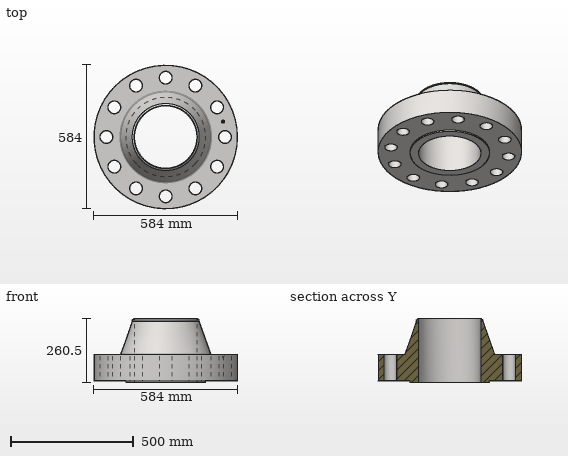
import cadquery as cq
import math

flange_diameter = 584.0
flange_thickness = 108.0
hub_height = 146.0

raised_face_diameter = 323.5
raised_face_height = 6.5

hub_base_diameter = 368.0
hub_fillet_radius = 3.5
neck_diameter = 273.0
neck_length = 5.0
bore_diameter = 253.5

weld_land = 2.0
weld_bevel_angle = 37.5

bolt_count = 12
bolt_circle_diameter = 482.5
bolt_hole_diameter = 51.0

recess_diameter = 13.0
recess_depth = 6.0
pilot_diameter = 4.0
pilot_depth = 11.5
recess_angle = 180.0 / bolt_count


def make_body():
    """Revolve the half section of the flange, hub and raised face about Z."""
    bore_radius = bore_diameter / 2
    neck_radius = neck_diameter / 2
    land_radius = bore_radius + weld_land
    bevel_width = neck_radius - land_radius
    bevel_height = bevel_width * math.tan(math.radians(weld_bevel_angle))
    neck_top = hub_height - bevel_height
    section = [
        (bore_radius, -flange_thickness - raised_face_height),
        (raised_face_diameter / 2, -flange_thickness - raised_face_height),
        (raised_face_diameter / 2, -flange_thickness),
        (flange_diameter / 2, -flange_thickness),
        (flange_diameter / 2, 0),
        (hub_base_diameter / 2, 0),
        (neck_radius, neck_top - neck_length),
        (neck_radius, neck_top),
        (land_radius, hub_height),
        (bore_radius, hub_height),
    ]
    body = cq.Workplane("XZ").polyline(section).close().revolve(360, (0, 0), (0, 1))
    hub_root = cq.selectors.RadiusNthSelector(-2)
    return body.edges(hub_root).fillet(hub_fillet_radius)


def make_bolt_holes():
    """Through holes evenly spaced on the bolt circle."""
    return (
        cq.Workplane("XY")
        .polarArray(bolt_circle_diameter / 2, 0, 360, bolt_count)
        .circle(bolt_hole_diameter / 2)
        .extrude(-flange_thickness)
    )


def make_stepped_hole():
    """Flat-bottomed round recess with a smaller pilot hole in its floor."""
    recess = cq.Workplane("XY").circle(recess_diameter / 2).extrude(-recess_depth)
    pilot = cq.Workplane("XY").circle(pilot_diameter / 2).extrude(-pilot_depth)
    hole = recess.union(pilot).translate((bolt_circle_diameter / 2, 0, 0))
    return hole.rotate((0, 0, 0), (0, 0, 1), recess_angle)


result = make_body().cut(make_bolt_holes()).cut(make_stepped_hole())